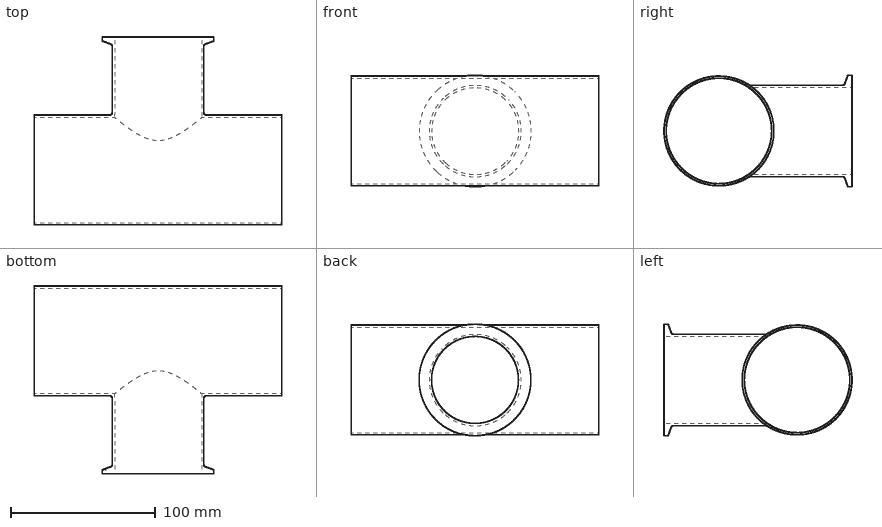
import cadquery as cq
import math

run_length = 171.5
run_outer_diameter = 76.1
run_inner_diameter = 72.9

branch_reach = 92.0
branch_outer_diameter = 63.5
branch_inner_diameter = 60.2
junction_fillet = 1.7

ferrule_diameter = 77.3
rim_thickness = 3.0
rim_edge_fillet = 0.5
clamp_angle = 20.0
neck_fillet = 1.4

branch_radius = branch_outer_diameter / 2
ferrule_radius = ferrule_diameter / 2
cone_depth = (ferrule_radius - branch_radius) * math.tan(math.radians(clamp_angle))
rim_back = branch_reach - rim_thickness
neck = rim_back - cone_depth

selector_margin = 0.02


def cylinder_along_x(diameter, length):
    """Solid cylinder on the X axis, centred on the origin."""
    return cq.Workplane("YZ").circle(diameter / 2).extrude(length / 2, both=True)


def cylinder_along_y(diameter, length):
    """Solid cylinder on the Y axis, from the origin toward +Y."""
    return cq.Workplane("XZ").circle(diameter / 2).extrude(-length)


def circle_at(diameter, y):
    """Selector box holding only the circular edge of this diameter at this y."""
    reach = diameter / 2 + selector_margin
    return cq.selectors.BoxSelector(
        (-reach, y - selector_margin, -reach),
        (reach, y + selector_margin, reach),
        boundingbox=True,
    )


def tee_body():
    """Solid run and branch, blended along the saddle-shaped junction."""
    run = cylinder_along_x(run_outer_diameter, run_length)
    branch = cylinder_along_y(branch_outer_diameter, branch_reach)
    outside = run.union(branch)
    reach = branch_radius + selector_margin
    saddle_top = run_outer_diameter / 2 + selector_margin
    saddle = cq.selectors.BoxSelector(
        (-reach, selector_margin, -reach),
        (reach, saddle_top, reach),
        boundingbox=True,
    )
    return outside.edges(saddle).fillet(junction_fillet)


def ferrule():
    """Solid of revolution: straight rim with a cone running down to the branch."""
    profile = [
        (0, branch_reach),
        (ferrule_radius, branch_reach),
        (ferrule_radius, rim_back),
        (branch_radius, neck),
        (0, neck),
    ]
    return cq.Workplane("XY").polyline(profile).close().revolve(360, (0, 0, 0), (0, 1, 0))


body = tee_body().union(ferrule())
body = body.edges(circle_at(branch_outer_diameter, neck)).fillet(neck_fillet)
for rim_y in (rim_back, branch_reach):
    body = body.edges(circle_at(ferrule_diameter, rim_y)).fillet(rim_edge_fillet)

body = body.cut(cylinder_along_x(run_inner_diameter, run_length))
result = body.cut(cylinder_along_y(branch_inner_diameter, branch_reach))